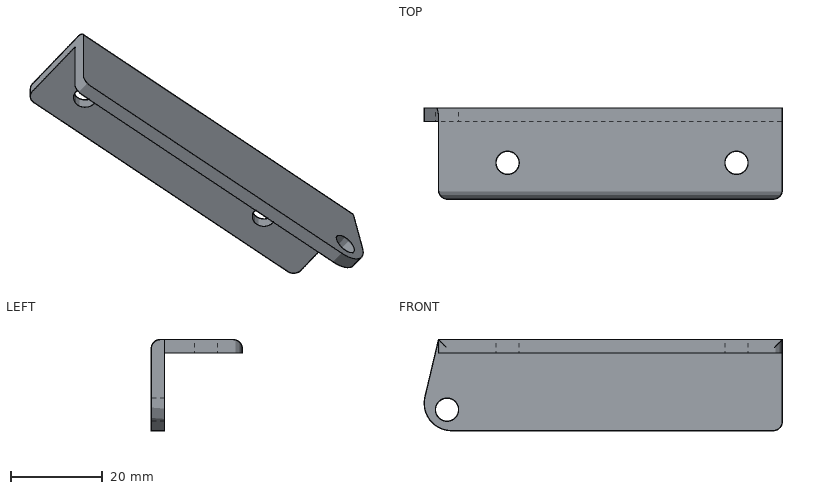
import cadquery as cq
import math

length = 78.3
depth = 20.0
height = 20.0
thickness = 3.0
edge_radius = 2.0

flange_start = 3.1
nose_radius = 6.0

hole_diameter = 5.0
pivot_x = 5.0
pivot_z = 4.6
mount_spacing = 50.0
mount_end_distance = 10.0
mount_front_distance = 8.0


def make_wall():
    """Vertical wall whose slanted end runs tangent into a round nose."""
    run = nose_radius - flange_start
    drop = height - nose_radius
    slant_angle = (math.asin(nose_radius / math.hypot(run, drop))
                   - math.atan2(run, drop))

    def nose_point(angle):
        return (nose_radius * (1 - math.cos(angle)),
                nose_radius * (1 + math.sin(angle)))

    bottom_angle = -math.pi / 2
    middle_angle = (slant_angle + bottom_angle) / 2
    wall = (
        cq.Workplane("XZ", origin=(0, depth, 0))
        .moveTo(flange_start, height)
        .lineTo(*nose_point(slant_angle))
        .threePointArc(nose_point(middle_angle), nose_point(bottom_angle))
        .lineTo(length, 0)
        .lineTo(length, height)
        .close()
        .extrude(thickness)
    )
    wall = wall.edges("|Y and >X and <Z").fillet(edge_radius)
    return wall


def make_flange():
    """Top flange with rounded front corners."""
    flange = cq.Workplane("XY").box(
        length - flange_start, depth, thickness, centered=False
    ).translate((flange_start, 0, height - thickness))
    return flange.edges("|Z and <Y").fillet(edge_radius)


def make_rounded_envelope():
    """Block that rounds the bend and the front top edge of the bracket."""
    block = cq.Workplane("XY").box(length, depth, height, centered=False)
    return block.edges("|X and >Z").fillet(edge_radius)


def make_holes():
    """Pivot hole through the wall and mounting holes through the flange."""
    hole_radius = hole_diameter / 2
    holes = (
        cq.Workplane("XZ", origin=(pivot_x, depth, pivot_z))
        .circle(hole_radius)
        .extrude(thickness)
    )
    last_x = length - mount_end_distance
    for x in (last_x - mount_spacing, last_x):
        mount_hole = (
            cq.Workplane("XY", origin=(x, mount_front_distance, height - thickness))
            .circle(hole_radius)
            .extrude(thickness)
        )
        holes = holes.union(mount_hole)
    return holes


bracket = make_wall().union(make_flange()).intersect(make_rounded_envelope())
result = bracket.cut(make_holes())